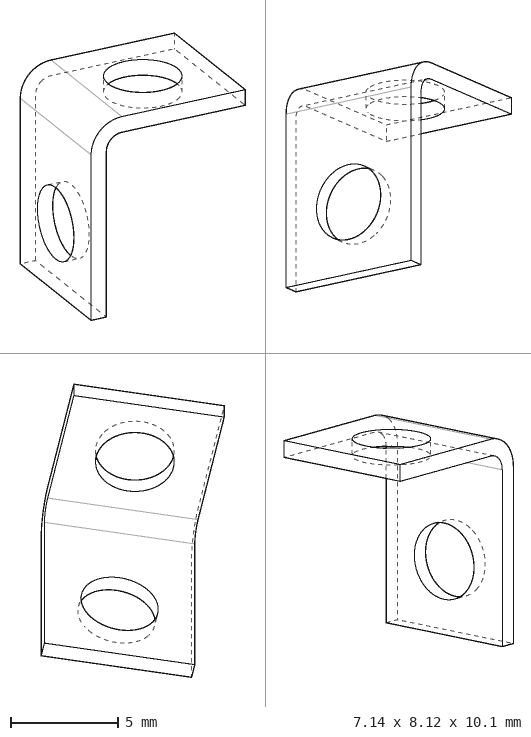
import cadquery as cq

width = 7.14
depth = 8.12
height = 10.12

thickness = 0.81
inner_radius = 0.81
outer_radius = inner_radius + thickness

hole_diameter = 3.66
hole_end_distance = 3.53


def bent_sheet():
    """L-shaped sheet with its outer corner parallel to X at Y = 0, Z = height."""
    sheet = (
        cq.Workplane("YZ")
        .polyline([
            (0, 0),
            (0, height),
            (depth, height),
            (depth, height - thickness),
            (thickness, height - thickness),
            (thickness, 0),
        ])
        .close()
        .extrude(width / 2, both=True)
    )
    outer_corner = cq.selectors.NearestToPointSelector((0, 0, height))
    inner_corner = cq.selectors.NearestToPointSelector((0, thickness, height - thickness))
    sheet = sheet.edges("|X").edges(outer_corner).fillet(outer_radius)
    return sheet.edges("|X").edges(inner_corner).fillet(inner_radius)


def hole_cutter(plane, center):
    """Cylinder through one leg, centred on its thickness."""
    return (
        cq.Workplane(plane, origin=center)
        .circle(hole_diameter / 2)
        .extrude(thickness, both=True)
    )


upright_hole = hole_cutter("XZ", (0, thickness / 2, hole_end_distance))
top_hole = hole_cutter("XY", (0, depth - hole_end_distance, height - thickness / 2))

result = bent_sheet().cut(upright_hole).cut(top_hole)